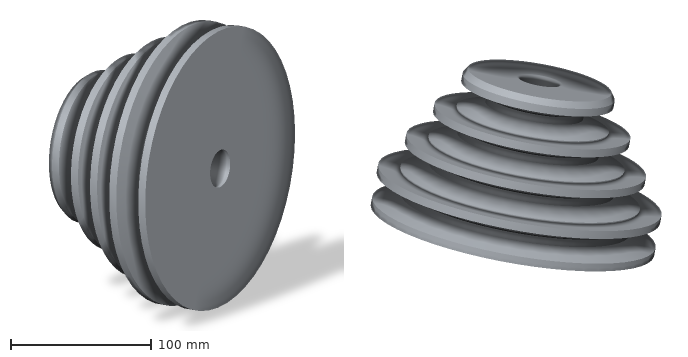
import cadquery as cq
import math

length = 111.41
step_count = 4
largest_radius = 205.74 / 2
radius_step = 15.875
step_pitch = 25.65

groove_depth = 19.84
groove_root_width = 5.65
groove_half_angle = 17.8
large_end_land = 5.8
front_land = 5.9

nose_chamfer_length = 4.6
nose_chamfer_height = 3.1

bore_radius = 13.8
bore_mouth_fillet = 2.85

groove_mouth_width = groove_root_width + 2 * groove_depth * math.tan(math.radians(groove_half_angle))
last_groove_center = length - large_end_land - groove_mouth_width / 2


def step_radius(index):
    """Rim radius of a step, counted from the small end."""
    return largest_radius - (step_count - 1 - index) * radius_step


def groove_center(index):
    """Axial position of the middle of a step's groove."""
    return last_groove_center - (step_count - 1 - index) * step_pitch


def step_start(index):
    """Axial position of the shoulder that faces the small end."""
    return groove_center(index) - groove_mouth_width / 2 - front_land


def step_profile(index):
    """Outline points (x, radius) of one step, from its shoulder to the next one."""
    rim = step_radius(index)
    root = rim - groove_depth
    center = groove_center(index)
    is_last = index == step_count - 1
    end = length if is_last else step_start(index + 1)

    if index == 0:
        points = [(0, rim - nose_chamfer_height), (nose_chamfer_length, rim)]
    else:
        points = [(step_start(index), rim)]

    points += [
        (center - groove_mouth_width / 2, rim),
        (center - groove_root_width / 2, root),
        (center + groove_root_width / 2, root),
        (center + groove_mouth_width / 2, rim),
        (end, rim),
    ]
    return points


def pulley_body():
    """Solid of revolution with all steps, grooves and the nose chamfer."""
    outline = [(0, 0)]
    for index in range(step_count):
        outline += step_profile(index)
    outline.append((length, 0))
    return cq.Workplane("XY").polyline(outline).close().revolve(360, (0, 0, 0), (1, 0, 0))


def bore_cutter():
    """Through bore with a rounded mouth at the small end."""
    arc_offset = bore_mouth_fillet * (1 - math.sqrt(0.5))
    profile = (
        cq.Workplane("XY")
        .lineTo(0, bore_radius + bore_mouth_fillet)
        .threePointArc((arc_offset, bore_radius + arc_offset), (bore_mouth_fillet, bore_radius))
        .lineTo(length, bore_radius)
        .lineTo(length, 0)
        .close()
    )
    return profile.revolve(360, (0, 0, 0), (1, 0, 0))


result = pulley_body().cut(bore_cutter())